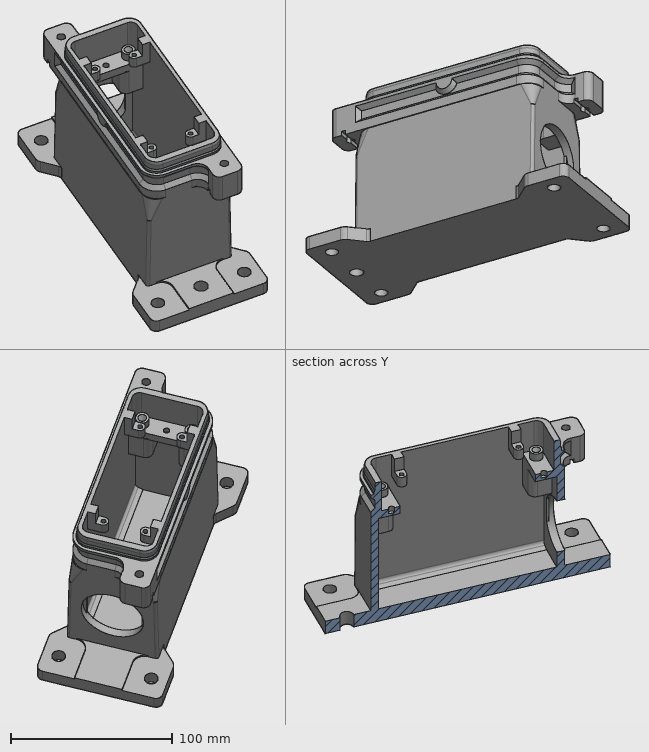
import cadquery as cq
import math

LENGTH = 189.0
WIDTH = 81.0
BASE_HEIGHT = 9.0
EAR_CORNER_RADIUS = 4.3
EAR_SHOULDER_X = 65.4
EAR_ROOT_X = 54.0
EAR_SHOULDER_RADIUS = 5.7
EAR_ROOT_RADIUS = 3.2
EAR_ROOT_LAND = 0.4
EAR_HOLE_DIAMETER = 8.3
EAR_HOLE_X = 80.1
EAR_HOLE_Y = 30.0
CENTRE_HOLE_DIAMETER = 8.9
STRIP_HALF_WIDTH = 15.5
STRIP_STEP = 1.1
STRIP_FLARE_RADIUS = 7.5

BODY_HALF_LENGTH = 64.5
BODY_FOOT_HALF_WIDTH = 29.9
BODY_TOP_HALF_WIDTH = 28.4
BODY_EDGE_RADIUS = 1.9
BODY_TOP_RADIUS = 9.5
CORNER_BLEND_HEIGHT = 65.4

COLLAR_BOTTOM = 81.8
COLLAR_TOP = 102.0
COLLAR_HALF_WIDTH = 29.0
COLLAR_RADIUS = 12.3
TAB_END_X = 82.4
TAB_SIDE_Y = 9.3
TAB_RADIUS = 4.5
TAB_ROOT_RADIUS = 7.5
TAB_HOLE_DIAMETER = 5.3
TAB_HOLE_X = 72.5
TAB_HOLE_Y = 20.0
TAB_SLOT_WIDTH = 2.6
TAB_SLOT_DEPTH = 2.8

GROOVE_BOTTOM = 88.3
GROOVE_TOP = 99.8
GROOVE_DEPTH = 2.8
GROOVE_LONG_END_X = 63.9
GROOVE_TAB_END_X = 71.8
GROOVE_TAB_END_RUN = 5.0
LUG_FACE_RADIUS = 5.7
LUG_ROOT_RADIUS = 8.1

RIM_HALF_LENGTH = 61.8
RIM_HALF_WIDTH = 26.0
RIM_RADIUS = 8.9
RIM_TOP = 111.0
RIM_TAPER_HEIGHT = 2.3
RIM_TAPER = 0.5
BEAD_PROJECTION = 0.5
BEAD_HEIGHT = 1.5
BEAD_SLOPE_TOP = 104.9

MOUTH_HALF_LENGTH = 57.0
MOUTH_HALF_WIDTH = 22.9
MOUTH_RADIUS = 4.7
LEDGE_TOP = 87.7
LEDGE_THICKNESS = 6.0
LEDGE_EDGE_X = 44.8
BAY_HALF_LENGTH = 59.0
FLOOR_HEIGHT = 10.2
FLOOR_HALF_WIDTH = 18.0
FLOOR_SIDE_RISE = 2.0
FLOOR_FILLET = 3.0
CABLE_HOLE_HEIGHT = 42.1
CABLE_HOLE_DIAMETER = 40.5
CABLE_HOLE_FLAT_Y = 18.0
FLAT_LAYER = 1.5
COLUMN_BOTTOM = CABLE_HOLE_HEIGHT + CABLE_HOLE_DIAMETER / 2
COLUMN_INNER_Y = 8.5
COLUMN_EDGE_RADIUS = 4.7

POST_X = 51.5
POST_Y = 16.0
POST_DIAMETER = 8.5
POST_SOCKET_DIAMETER = 5.3
POST_HEIGHT = 5.7
POST_SOCKET_DEPTH = 3.8
LEDGE_HOLE_X = 50.5
LEDGE_HOLE_DIAMETER = 3.8
LEDGE_HOLE_DEPTH = 3.8
RIB_X = 38.7
RIB_WIDTH = 6.5
RIB_INNER_Y = 17.8
RIB_BOTTOM = 93.5
PAD_TOP = 101.1
PAD_CENTRE_Y = 13.6
PAD_HOLE_DIAMETER = 2.8
PAD_HOLE_DEPTH = 3.8


def rounded_block(half_length, half_width, radius, bottom, top):
    block = cq.Workplane("XY").workplane(offset=bottom)
    block = block.rect(2 * half_length, 2 * half_width).extrude(top - bottom)
    return block.edges("|Z").fillet(radius)


def rounded_outline(half_length, half_width, radius, height):
    sketch = cq.Sketch().rect(2 * half_length, 2 * half_width).vertices().fillet(radius)
    return sketch.moved(cq.Location(cq.Vector(0, 0, height)))


def box_between(x1, x2, y1, y2, z1, z2):
    return cq.Workplane("XY").box(x2 - x1, y2 - y1, z2 - z1, centered=False).translate((x1, y1, z1))


def cylinder(x, y, diameter, bottom, top):
    return cq.Workplane("XY", origin=(x, y, bottom)).circle(diameter / 2).extrude(top - bottom)


def with_opposite(shape):
    """Add the copy turned half a turn about the Z axis."""
    return shape.union(shape.rotate((0, 0, 0), (0, 0, 1), 180))


def make_ear():
    """Base flange at the +X end."""
    end_x = LENGTH / 2
    half_width = WIDTH / 2
    foot = BODY_FOOT_HALF_WIDTH
    slope_angle = math.atan2(half_width - foot, EAR_SHOULDER_X - EAR_ROOT_X)
    inner_x = EAR_ROOT_X - EAR_ROOT_RADIUS * math.tan(slope_angle / 2) - EAR_ROOT_LAND
    upper = [(inner_x, foot), (EAR_ROOT_X, foot), (EAR_SHOULDER_X, half_width), (end_x, half_width)]
    lower = [(x, -y) for x, y in reversed(upper)]
    ear = cq.Workplane("XY").polyline(upper + lower).close().extrude(BASE_HEIGHT)
    ear = ear.edges("|Z and >X").fillet(EAR_CORNER_RADIUS)
    for x, y, radius in [
        (EAR_SHOULDER_X, half_width, EAR_SHOULDER_RADIUS),
        (EAR_ROOT_X, foot, EAR_ROOT_RADIUS),
    ]:
        for side in (1, -1):
            corner = cq.selectors.NearestToPointSelector((x, side * y, BASE_HEIGHT / 2))
            ear = ear.edges("|Z").edges(corner).fillet(radius)

    flare_y = STRIP_HALF_WIDTH + STRIP_FLARE_RADIUS
    flare_x = BODY_HALF_LENGTH + STRIP_FLARE_RADIUS
    arc_offset = STRIP_FLARE_RADIUS * (1 - math.sqrt(0.5))
    arc_x = BODY_HALF_LENGTH + arc_offset
    arc_y = STRIP_HALF_WIDTH + arc_offset
    strip = (
        cq.Workplane("XY")
        .moveTo(end_x, STRIP_HALF_WIDTH)
        .lineTo(flare_x, STRIP_HALF_WIDTH)
        .threePointArc((arc_x, arc_y), (BODY_HALF_LENGTH, flare_y))
        .lineTo(inner_x, flare_y)
        .lineTo(inner_x, -flare_y)
        .lineTo(BODY_HALF_LENGTH, -flare_y)
        .threePointArc((arc_x, -arc_y), (flare_x, -STRIP_HALF_WIDTH))
        .lineTo(end_x, -STRIP_HALF_WIDTH)
        .close()
        .extrude(BASE_HEIGHT + STRIP_STEP)
    )
    ear = ear.union(strip)
    for side in (1, -1):
        ear = ear.cut(cylinder(EAR_HOLE_X, side * EAR_HOLE_Y, EAR_HOLE_DIAMETER, 0, BASE_HEIGHT))
    return ear


def make_body():
    """Drafted block whose corner radius grows towards the collar."""
    draft = (BODY_FOOT_HALF_WIDTH - BODY_TOP_HALF_WIDTH) / COLLAR_BOTTOM
    blend_half_width = BODY_FOOT_HALF_WIDTH - draft * CORNER_BLEND_HEIGHT
    lower = (
        cq.Workplane("XY")
        .rect(2 * BODY_HALF_LENGTH, 2 * BODY_FOOT_HALF_WIDTH)
        .workplane(offset=CORNER_BLEND_HEIGHT)
        .rect(2 * BODY_HALF_LENGTH, 2 * blend_half_width)
        .loft(ruled=True)
    )
    lower = lower.edges("not #Z").fillet(BODY_EDGE_RADIUS)
    blend = rounded_outline(BODY_HALF_LENGTH, blend_half_width, BODY_EDGE_RADIUS, CORNER_BLEND_HEIGHT)
    top = rounded_outline(BODY_HALF_LENGTH, BODY_TOP_HALF_WIDTH, BODY_TOP_RADIUS, COLLAR_BOTTOM)
    upper = cq.Workplane("XY").placeSketch(blend, top).loft(ruled=True)
    return lower.union(upper)


def collar_plate(bottom, top):
    """Slice of the collar outline, including both tabs."""
    plate = rounded_block(BODY_HALF_LENGTH, COLLAR_HALF_WIDTH, COLLAR_RADIUS, bottom, top)
    tab = box_between(0, TAB_END_X, TAB_SIDE_Y, COLLAR_HALF_WIDTH, bottom, top)
    tab = tab.edges("|Z and >X").fillet(TAB_RADIUS)
    plate = plate.union(with_opposite(tab)).clean()
    for side in (1, -1):
        root = (side * BODY_HALF_LENGTH, side * TAB_SIDE_Y, (bottom + top) / 2)
        root_edge = cq.selectors.NearestToPointSelector(root)
        plate = plate.edges("|Z").edges(root_edge).fillet(TAB_ROOT_RADIUS)
    return plate


def make_groove():
    band = collar_plate(GROOVE_BOTTOM, GROOVE_TOP)
    lower_flank = band.faces("<Z").wires().toPending().workplane(invert=True)
    lower_flank = lower_flank.extrude(GROOVE_DEPTH, combine=False, taper=45)
    upper_flank = lower_flank.mirror("XY", (0, 0, (GROOVE_BOTTOM + GROOVE_TOP) / 2))
    waist = lower_flank.faces(">Z").wires().toPending()
    waist = waist.extrude(GROOVE_TOP - GROOVE_BOTTOM - 2 * GROOVE_DEPTH, combine=False)
    groove = band.cut(lower_flank).cut(upper_flank).cut(waist)

    clear_x = TAB_END_X + 1.9
    clear_y = COLLAR_HALF_WIDTH + 1.9
    tab_zone = (
        cq.Workplane("XY")
        .workplane(offset=GROOVE_BOTTOM)
        .polyline([
            (GROOVE_LONG_END_X, clear_y),
            (GROOVE_LONG_END_X, COLLAR_HALF_WIDTH),
            (GROOVE_LONG_END_X - GROOVE_DEPTH, COLLAR_HALF_WIDTH - GROOVE_DEPTH),
            (GROOVE_TAB_END_X - GROOVE_TAB_END_RUN, TAB_SIDE_Y + GROOVE_DEPTH),
            (GROOVE_TAB_END_X, TAB_SIDE_Y),
            (clear_x, TAB_SIDE_Y),
            (clear_x, clear_y),
        ])
        .close()
        .extrude(GROOVE_TOP - GROOVE_BOTTOM)
    )
    return groove.cut(with_opposite(tab_zone))


def make_lug():
    """Half-round tapered lug hanging in the groove on the -Y side."""
    lug = (
        cq.Workplane("XZ", origin=(0, GROOVE_DEPTH - COLLAR_HALF_WIDTH, GROOVE_TOP))
        .circle(LUG_ROOT_RADIUS)
        .workplane(offset=GROOVE_DEPTH)
        .circle(LUG_FACE_RADIUS)
        .loft()
    )
    reach = COLLAR_HALF_WIDTH
    return lug.intersect(box_between(-reach, reach, -reach, 0, GROOVE_BOTTOM, GROOVE_TOP))


def make_collar():
    collar = collar_plate(COLLAR_BOTTOM, COLLAR_TOP)
    collar = collar.cut(make_groove()).union(with_opposite(make_lug()))
    for side in (1, -1):
        x = side * TAB_HOLE_X
        y = side * TAB_HOLE_Y
        collar = collar.cut(cylinder(x, y, TAB_HOLE_DIAMETER, COLLAR_BOTTOM, COLLAR_TOP))
        slot = cq.Workplane("XY").box(TAB_SLOT_WIDTH, 2 * COLLAR_HALF_WIDTH, 2 * TAB_SLOT_DEPTH)
        collar = collar.cut(slot.translate((x, y, COLLAR_BOTTOM)))
    return collar


def rim_layer(growth, bottom, top, inset=0.0):
    """Layer of the rim, grown beyond the rim wall and narrowing by the inset at its top."""
    height = top - bottom
    outline = rounded_outline(RIM_HALF_LENGTH + growth, RIM_HALF_WIDTH + growth, RIM_RADIUS + growth, bottom)
    taper = math.degrees(math.atan2(inset, height))
    return cq.Workplane("XY").placeSketch(outline).extrude(height, taper=taper)


def make_rim():
    """Straight wall with a tapered lip above and a sealing bead at its foot."""
    taper_start = RIM_TOP - RIM_TAPER_HEIGHT
    bead_top = COLLAR_TOP + BEAD_HEIGHT
    bead = rim_layer(BEAD_PROJECTION, COLLAR_TOP, bead_top)
    slope = rim_layer(BEAD_PROJECTION, bead_top, BEAD_SLOPE_TOP, BEAD_PROJECTION)
    wall = rim_layer(0, BEAD_SLOPE_TOP, taper_start)
    lip = rim_layer(0, taper_start, RIM_TOP, RIM_TAPER)
    return bead.union(slope).union(wall).union(lip)


def make_lower_bay():
    """Deep bay below the ledges, with a gutter-shaped floor."""
    wall_y = MOUTH_HALF_WIDTH
    bay = (
        cq.Workplane("YZ", origin=(-BAY_HALF_LENGTH, 0, 0))
        .polyline([
            (-FLOOR_HALF_WIDTH, FLOOR_HEIGHT),
            (FLOOR_HALF_WIDTH, FLOOR_HEIGHT),
            (wall_y, FLOOR_HEIGHT + FLOOR_SIDE_RISE),
            (wall_y, LEDGE_TOP),
            (-wall_y, LEDGE_TOP),
            (-wall_y, FLOOR_HEIGHT + FLOOR_SIDE_RISE),
        ])
        .close()
        .extrude(2 * BAY_HALF_LENGTH)
    )
    for side in (1, -1):
        corner = cq.selectors.NearestToPointSelector((0, side * wall_y, FLOOR_HEIGHT + FLOOR_SIDE_RISE))
        bay = bay.edges("|X").edges(corner).fillet(FLOOR_FILLET)
    return bay


def make_ledge():
    """Ledge across the +X end, carried by a column in each corner."""
    wall_y = MOUTH_HALF_WIDTH
    underside = LEDGE_TOP - LEDGE_THICKNESS
    ledge = box_between(LEDGE_EDGE_X, BAY_HALF_LENGTH, -wall_y, wall_y, underside, LEDGE_TOP)
    column = box_between(LEDGE_EDGE_X, BAY_HALF_LENGTH, COLUMN_INNER_Y, wall_y, COLUMN_BOTTOM, LEDGE_TOP)
    column = column.edges("|Z and <X and <Y").fillet(COLUMN_EDGE_RADIUS)
    return ledge.union(column).union(column.mirror("XZ"))


def make_cable_hole():
    """Round opening in the -X wall, with flat sides through its innermost layer."""
    hole = (
        cq.Workplane("YZ", origin=(-BODY_HALF_LENGTH, 0, CABLE_HOLE_HEIGHT))
        .circle(CABLE_HOLE_DIAMETER / 2)
        .extrude(BODY_HALF_LENGTH - BAY_HALF_LENGTH)
    )
    outer_layer = box_between(
        -BODY_HALF_LENGTH, -BAY_HALF_LENGTH - FLAT_LAYER, -WIDTH / 2, WIDTH / 2, 0, COLLAR_BOTTOM
    )
    between_flats = box_between(
        -BODY_HALF_LENGTH, -BAY_HALF_LENGTH, -CABLE_HOLE_FLAT_Y, CABLE_HOLE_FLAT_Y, 0, COLLAR_BOTTOM
    )
    return hole.intersect(outer_layer.union(between_flats))


def make_cavity():
    """Everything hollowed out of the housing: mouth, lower bay and cable opening."""
    mouth = rounded_block(MOUTH_HALF_LENGTH, MOUTH_HALF_WIDTH, MOUTH_RADIUS, LEDGE_TOP, RIM_TOP)
    bay = make_lower_bay().cut(with_opposite(make_ledge()))
    return mouth.union(bay).union(make_cable_hole())


def make_post():
    """Screw post with a conical socket, on the ledge in the +X +Y corner."""
    top = LEDGE_TOP + POST_HEIGHT
    post = cylinder(POST_X, POST_Y, POST_DIAMETER, LEDGE_TOP, top)
    socket = cq.Solid.makeCone(
        POST_SOCKET_DIAMETER / 2, 0, POST_SOCKET_DEPTH, cq.Vector(POST_X, POST_Y, top), cq.Vector(0, 0, -1)
    )
    return post.cut(cq.Workplane(socket))


def make_rib():
    """Wall rib in the +X +Y corner with a lower, round-ended pad."""
    left = RIB_X - RIB_WIDTH / 2
    right = RIB_X + RIB_WIDTH / 2
    rib = box_between(left, right, RIB_INNER_Y, MOUTH_HALF_WIDTH, RIB_BOTTOM, RIM_TOP)
    pad = box_between(left, right, PAD_CENTRE_Y, MOUTH_HALF_WIDTH, RIB_BOTTOM, PAD_TOP)
    pad = pad.union(cylinder(RIB_X, PAD_CENTRE_Y, RIB_WIDTH, RIB_BOTTOM, PAD_TOP))
    hole = cylinder(RIB_X, PAD_CENTRE_Y, PAD_HOLE_DIAMETER, PAD_TOP - PAD_HOLE_DEPTH, PAD_TOP)
    return rib.union(pad).cut(hole)


def in_four_corners(shape):
    pair = shape.union(shape.mirror("YZ"))
    return pair.union(pair.mirror("XZ"))


result = make_body().union(with_opposite(make_ear()))
result = result.union(make_collar()).union(make_rim())
result = result.cut(make_cavity())
result = result.union(in_four_corners(make_post())).union(in_four_corners(make_rib()))
for end in (1, -1):
    ledge_hole = cylinder(
        end * LEDGE_HOLE_X, 0, LEDGE_HOLE_DIAMETER, LEDGE_TOP - LEDGE_HOLE_DEPTH, LEDGE_TOP
    )
    result = result.cut(ledge_hole)
result = result.cut(cylinder(EAR_HOLE_X, 0, CENTRE_HOLE_DIAMETER, 0, BASE_HEIGHT + STRIP_STEP))